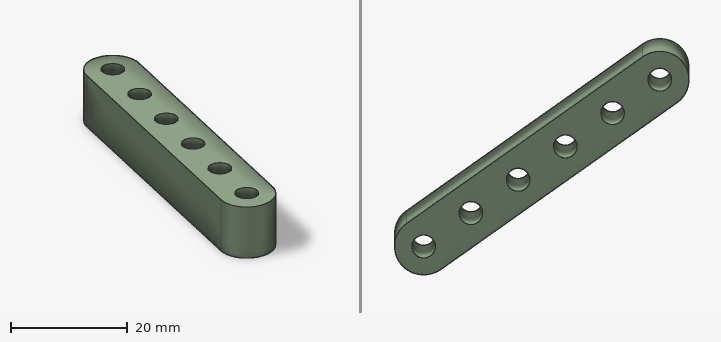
import cadquery as cq

length = 60.0
hole_count = 6
hole_diameter = 4.0

pitch = length / hole_count
width = pitch
height = pitch

bar = cq.Workplane("XY").slot2D(length, width).extrude(height)

result = (
    bar.faces(">Z")
    .workplane(centerOption="CenterOfBoundBox")
    .rarray(pitch, pitch, hole_count, 1)
    .hole(hole_diameter)
)